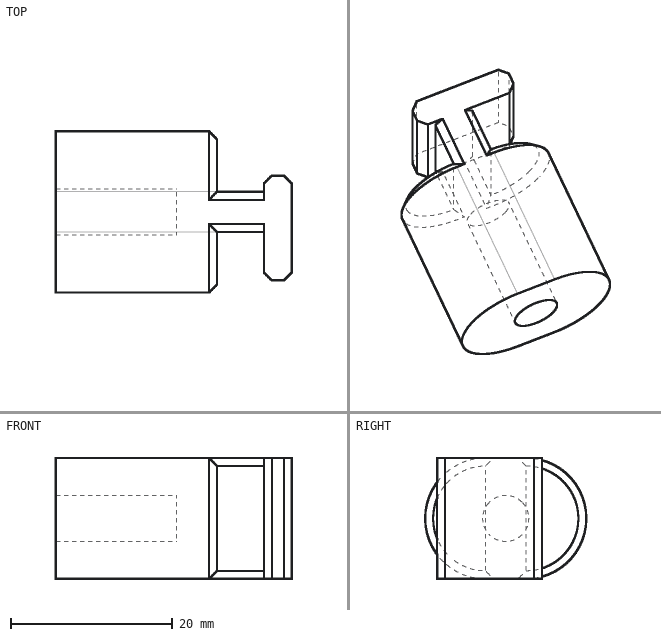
import cadquery as cq

total_length = 29.3
body_width = 20.0
height = 15.0
body_length = 20.0
chamfer = 1.0

neck_width = body_width - height
head_thickness = 3.5
head_width = 13.0
head_offset = -2.0

hole_diameter = 5.7
hole_depth = 15.0

head_start = total_length - head_thickness


def make_body():
    """Obround bar with its rim chamfered on the neck side."""
    bar = cq.Workplane("YZ").slot2D(body_width, height).extrude(body_length)
    return bar.faces(">X").chamfer(chamfer)


def make_neck():
    """Full-height web with chamfered long edges, rooted where the rim chamfer starts."""
    root = body_length - chamfer
    web = cq.Workplane("YZ", origin=(root, 0, 0)).rect(neck_width, height).extrude(head_start - root)
    return web.edges("|X").chamfer(chamfer)


def make_head():
    """Cross plate with chamfered upright edges."""
    plate = (
        cq.Workplane("YZ", origin=(head_start, head_offset, 0))
        .rect(head_width, height)
        .extrude(head_thickness)
    )
    return plate.edges("|Z").chamfer(chamfer)


hole = cq.Workplane("YZ").circle(hole_diameter / 2).extrude(hole_depth)

result = make_body().union(make_neck()).union(make_head()).cut(hole)